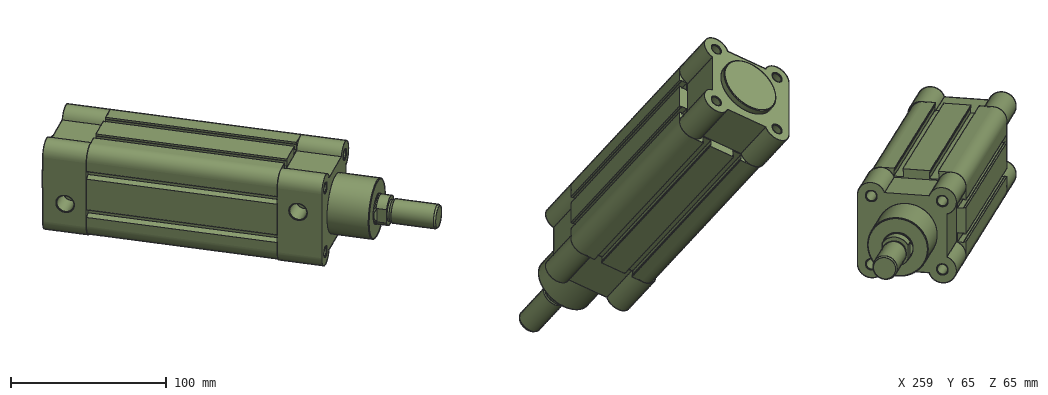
import cadquery as cq


OVERALL_LENGTH = 259.0
BODY_SIZE = 65.0
HALF_BODY = BODY_SIZE / 2
TIE_HALF_PITCH = 23.3
CORNER_RADIUS = HALF_BODY - TIE_HALF_PITCH

BOSS_LENGTH = 4.1
REAR_CAP_LENGTH = 29.0
TUBE_LENGTH = 127.2
FRONT_CAP_LENGTH = 29.8
COLLAR_LENGTH = 28.0
REAR_CAP_START = BOSS_LENGTH
TUBE_START = REAR_CAP_START + REAR_CAP_LENGTH
FRONT_CAP_START = TUBE_START + TUBE_LENGTH
COLLAR_START = FRONT_CAP_START + FRONT_CAP_LENGTH

COLLAR_RADIUS = 20.0
COLLAR_CHAMFER = 0.5
CAP_RECESS = 6.2
SCREW_HOLE_RADIUS = 3.4
SCREW_HOLE_CHAMFER = 0.5
PORT_RADIUS = 5.7
PORT_CHAMFER = 0.5
PORT_DEPTH = 15.5
PORT_OFFSET_Z = 8.3
REAR_PORT_X = 19.2
FRONT_PORT_X = 174.3

TUBE_FRONT_SETBACK = 1.0
SLOT_CENTRE = 11.7
SLOT_MOUTH_WIDTH = 5.5
SLOT_INNER_WIDTH = 6.2
SLOT_LIP = 1.5
SLOT_DEPTH = 5.5
GROOVE_CENTRE = 14.0
GROOVE_MOUTH_WIDTH = 5.5
GROOVE_FLOOR_WIDTH = 2.3
GROOVE_DEPTH = 3.5

ROD_RADIUS = 10.0
ROD_TAPER_START_X = 218.9
ROD_TAPER_END_X = 219.6
ROD_HEAD_RADIUS = 9.8
ROD_SHOULDER_X = 226.5
NECK_RADIUS = 7.3
NECK_CONE_X = 228.0
THREAD_START_X = 229.5
THREAD_RADIUS = 8.0
TIP_CHAMFER_LENGTH = 1.3
TIP_RADIUS = NECK_RADIUS
FLAT_HALF_WIDTH = 8.5
FLAT_START_X = 220.2


def plane_at(x):
    """Workplane across the axis at station x: local x is Y, local y is Z."""
    return cq.Workplane("YZ", origin=(x, 0, 0))


def corner_points():
    """(Y, Z) centres of the four corner lobes and their screw holes."""
    return [(y * TIE_HALF_PITCH, z * TIE_HALF_PITCH) for y in (-1, 1) for z in (-1, 1)]


def make_cap_block(start, length):
    """Cap with four round corner lobes, flush between them only on the -Y side."""
    core_half = HALF_BODY - CAP_RECESS
    core = plane_at(start).rect(2 * core_half, 2 * core_half).extrude(length)
    front_wall = (
        plane_at(start)
        .center(-(HALF_BODY + core_half) / 2, 0)
        .rect(CAP_RECESS, 2 * TIE_HALF_PITCH)
        .extrude(length)
    )
    lobes = plane_at(start).pushPoints(corner_points()).circle(CORNER_RADIUS).extrude(length)
    return core.union(front_wall).union(lobes)


def make_hole_cutter(mouth_plane, radius, chamfer, depth):
    """Round hole from the plane, along its normal, with a chamfered mouth."""
    bore = mouth_plane.circle(radius).extrude(depth)
    mouth = mouth_plane.circle(radius + chamfer).workplane(offset=chamfer).circle(radius).loft()
    return bore.union(mouth)


def cut_screw_holes(cap, outer_face_x, normal_x, length):
    """Four holes from the cap's outer face, running inward along normal_x."""
    for y, z in corner_points():
        plane = cq.Plane(origin=(outer_face_x, y, z), xDir=(0, 1, 0), normal=(normal_x, 0, 0))
        hole = make_hole_cutter(cq.Workplane(plane), SCREW_HOLE_RADIUS, SCREW_HOLE_CHAMFER, length)
        cap = cap.cut(hole)
    return cap


def cut_port(cap, x, z):
    """Blind air port in the -Y face of a cap."""
    plane = cq.Plane(origin=(x, -HALF_BODY, z), xDir=(1, 0, 0), normal=(0, 1, 0))
    return cap.cut(make_hole_cutter(cq.Workplane(plane), PORT_RADIUS, PORT_CHAMFER, PORT_DEPTH))


def make_rear_cap():
    cap = make_cap_block(REAR_CAP_START, REAR_CAP_LENGTH)
    boss = plane_at(0).circle(COLLAR_RADIUS).extrude(BOSS_LENGTH).faces("<X").chamfer(COLLAR_CHAMFER)
    cap = cap.union(boss)
    cap = cut_screw_holes(cap, REAR_CAP_START, 1, REAR_CAP_LENGTH)
    return cut_port(cap, REAR_PORT_X, -PORT_OFFSET_Z)


def make_front_cap():
    cap = make_cap_block(FRONT_CAP_START, FRONT_CAP_LENGTH)
    collar = (
        plane_at(COLLAR_START).circle(COLLAR_RADIUS).extrude(COLLAR_LENGTH)
        .faces(">X").chamfer(COLLAR_CHAMFER)
    )
    cap = cap.union(collar)
    cap = cut_screw_holes(cap, COLLAR_START, -1, FRONT_CAP_LENGTH)
    cap = cut_port(cap, FRONT_PORT_X, PORT_OFFSET_Z)
    rod_bore = plane_at(FRONT_CAP_START).circle(ROD_RADIUS).extrude(FRONT_CAP_LENGTH + COLLAR_LENGTH)
    return cap.cut(rod_bore)


def make_top_slot(side):
    """Undercut slot in the top face, on the +Y (side = 1) or -Y (side = -1) half."""
    mouth = (
        plane_at(TUBE_START)
        .center(side * SLOT_CENTRE, HALF_BODY - SLOT_DEPTH / 2)
        .rect(SLOT_MOUTH_WIDTH, SLOT_DEPTH)
        .extrude(TUBE_LENGTH)
    )
    inner_height = SLOT_DEPTH - SLOT_LIP
    inner = (
        plane_at(TUBE_START)
        .center(side * SLOT_CENTRE, HALF_BODY - SLOT_DEPTH + inner_height / 2)
        .rect(SLOT_INNER_WIDTH, inner_height)
        .extrude(TUBE_LENGTH)
    )
    return mouth.union(inner)


def make_front_groove(side):
    """Tapered groove in the tube's -Y face, above (side = 1) or below (side = -1) the axis."""
    mouth_y = -HALF_BODY + TUBE_FRONT_SETBACK
    floor_y = mouth_y + GROOVE_DEPTH
    centre_z = side * GROOVE_CENTRE
    return (
        plane_at(TUBE_START)
        .polyline([
            (mouth_y, centre_z - GROOVE_MOUTH_WIDTH / 2),
            (floor_y, centre_z - GROOVE_FLOOR_WIDTH / 2),
            (floor_y, centre_z + GROOVE_FLOOR_WIDTH / 2),
            (mouth_y, centre_z + GROOVE_MOUTH_WIDTH / 2),
        ])
        .close()
        .extrude(TUBE_LENGTH)
    )


def make_tube():
    tube = (
        plane_at(TUBE_START)
        .center(TUBE_FRONT_SETBACK / 2, 0)
        .rect(BODY_SIZE - TUBE_FRONT_SETBACK, BODY_SIZE)
        .extrude(TUBE_LENGTH)
        .edges("|X").fillet(CORNER_RADIUS)
    )
    for side in (-1, 1):
        slot = make_top_slot(side)
        for turn in (0, 90, 180):
            tube = tube.cut(slot.rotate((0, 0, 0), (1, 0, 0), -turn))
        tube = tube.cut(make_front_groove(side))
    return tube


def make_piston_rod():
    rod = (
        cq.Workplane("XY")
        .polyline([
            (FRONT_CAP_START, 0),
            (FRONT_CAP_START, ROD_RADIUS),
            (ROD_TAPER_START_X, ROD_RADIUS),
            (ROD_TAPER_END_X, ROD_HEAD_RADIUS),
            (ROD_SHOULDER_X, ROD_HEAD_RADIUS),
            (ROD_SHOULDER_X, NECK_RADIUS),
            (NECK_CONE_X, NECK_RADIUS),
            (THREAD_START_X, THREAD_RADIUS),
            (OVERALL_LENGTH - TIP_CHAMFER_LENGTH, THREAD_RADIUS),
            (OVERALL_LENGTH, TIP_RADIUS),
            (OVERALL_LENGTH, 0),
        ])
        .close()
        .revolve(360, (0, 0, 0), (1, 0, 0))
    )
    ramp = ROD_RADIUS - FLAT_HALF_WIDTH
    flat = (
        cq.Workplane("XY")
        .polyline([
            (FLAT_START_X - ramp, ROD_RADIUS),
            (FLAT_START_X, FLAT_HALF_WIDTH),
            (ROD_SHOULDER_X, FLAT_HALF_WIDTH),
            (ROD_SHOULDER_X, ROD_RADIUS),
        ])
        .close()
        .extrude(ROD_RADIUS, both=True)
    )
    return rod.cut(flat).cut(flat.mirror("XZ"))


rear_cap = make_rear_cap()
tube = make_tube()
front_cap = make_front_cap()
piston_rod = make_piston_rod()

result = cq.Compound.makeCompound([rear_cap.val(), tube.val(), front_cap.val(), piston_rod.val()])